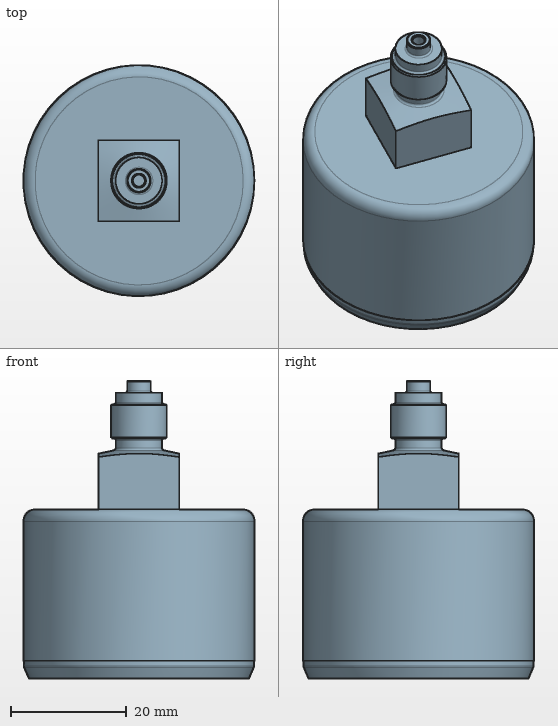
import cadquery as cq
import math

TOTAL_HEIGHT = 51.5

BEZEL_RADIUS = 19.95
BEZEL_BASE_RADIUS = 19.05
BEZEL_HEIGHT = 3.1
BEZEL_TAPER_HEIGHT = 2.05
BEZEL_EDGE_ROUND = 0.75
BEZEL_BASE_ROUND = 0.1

HOUSING_DIAMETER = 40.0
HOUSING_RADIUS = HOUSING_DIAMETER / 2
HOUSING_HEIGHT = 26.15
HOUSING_ROUND = 2.0
HOUSING_TOP = BEZEL_HEIGHT + HOUSING_HEIGHT

SHANK_WIDTH = 14.0
SHANK_SLOPE = 12.0
SHANK_CORNER_RADIUS = SHANK_WIDTH / math.sqrt(2)

NECK_RADIUS = 4.0
NECK_FOOT = 39.55
NECK_FOOT_ROUND = 0.45
NECK_TOP = 49.45

COLLAR_RADIUS = 4.85
COLLAR_BASE = 41.5
COLLAR_HEIGHT = 5.95
COLLAR_CHAMFER = 0.25
COLLAR_ROOT_ROUND = 0.3
COLLAR_TOP = COLLAR_BASE + COLLAR_HEIGHT

TIP_RADIUS = 2.05
TIP_ROOT_ROUND = 0.3
TIP_CHAMFER = 0.15
BORE_RADIUS = 1.05
BORE_CHAMFER = 0.2
BORE_DEPTH = 10.3

EDGE_TOLERANCE = 0.005


def revolve_about_z(outline):
    """Turn a closed outline in the XZ plane a full turn about the Z axis."""
    return outline.revolve(360, (0, 0, 0), (0, 1, 0))


def ring_edge(body, radius, height):
    """Select the circular edge of the given radius that lies at the given height."""
    return body.edges("%CIRCLE").filter(
        lambda edge: abs(edge.radius() - radius) < EDGE_TOLERANCE
        and abs(edge.Center().z - height) < EDGE_TOLERANCE
    )


def make_bezel():
    disc = revolve_about_z(
        cq.Workplane("XZ")
        .lineTo(BEZEL_BASE_RADIUS, 0)
        .lineTo(BEZEL_RADIUS, BEZEL_TAPER_HEIGHT)
        .lineTo(BEZEL_RADIUS, BEZEL_HEIGHT)
        .lineTo(0, BEZEL_HEIGHT)
        .close()
    )
    disc = ring_edge(disc, BEZEL_RADIUS, BEZEL_TAPER_HEIGHT).fillet(BEZEL_EDGE_ROUND)
    return ring_edge(disc, BEZEL_BASE_RADIUS, 0).fillet(BEZEL_BASE_ROUND)


def make_housing():
    cylinder = (
        cq.Workplane("XY")
        .workplane(offset=BEZEL_HEIGHT)
        .circle(HOUSING_RADIUS)
        .extrude(HOUSING_HEIGHT)
    )
    return cylinder.faces(">Z").edges().fillet(HOUSING_ROUND)


def make_shank_and_neck():
    slope_drop = (SHANK_CORNER_RADIUS - NECK_RADIUS) * math.tan(math.radians(SHANK_SLOPE))
    turned = revolve_about_z(
        cq.Workplane("XZ")
        .moveTo(0, HOUSING_TOP)
        .lineTo(SHANK_CORNER_RADIUS, HOUSING_TOP)
        .lineTo(SHANK_CORNER_RADIUS, NECK_FOOT - slope_drop)
        .lineTo(NECK_RADIUS, NECK_FOOT)
        .lineTo(NECK_RADIUS, NECK_TOP)
        .lineTo(0, NECK_TOP)
        .close()
    )
    turned = ring_edge(turned, NECK_RADIUS, NECK_FOOT).fillet(NECK_FOOT_ROUND)
    square_bar = cq.Workplane("XY").rect(SHANK_WIDTH, SHANK_WIDTH).extrude(TOTAL_HEIGHT)
    return turned.intersect(square_bar)


def make_collar():
    return (
        cq.Workplane("XY")
        .workplane(offset=COLLAR_BASE)
        .circle(COLLAR_RADIUS)
        .extrude(COLLAR_HEIGHT)
        .edges("%CIRCLE")
        .chamfer(COLLAR_CHAMFER)
    )


def make_tip():
    return (
        cq.Workplane("XY")
        .workplane(offset=NECK_TOP)
        .circle(TIP_RADIUS)
        .extrude(TOTAL_HEIGHT - NECK_TOP)
        .faces(">Z")
        .edges()
        .chamfer(TIP_CHAMFER)
    )


def make_bore():
    bore = (
        cq.Workplane("XY")
        .workplane(offset=TOTAL_HEIGHT)
        .circle(BORE_RADIUS)
        .extrude(-BORE_DEPTH)
    )
    mouth = revolve_about_z(
        cq.Workplane("XZ")
        .moveTo(0, TOTAL_HEIGHT)
        .lineTo(BORE_RADIUS + BORE_CHAMFER, TOTAL_HEIGHT)
        .lineTo(BORE_RADIUS, TOTAL_HEIGHT - BORE_CHAMFER)
        .lineTo(0, TOTAL_HEIGHT - BORE_CHAMFER)
        .close()
    )
    return bore.union(mouth)


def make_stem():
    stem = make_shank_and_neck().union(make_collar()).union(make_tip())
    for collar_end in (COLLAR_BASE, COLLAR_TOP):
        stem = ring_edge(stem, NECK_RADIUS, collar_end).fillet(COLLAR_ROOT_ROUND)
    stem = ring_edge(stem, TIP_RADIUS, NECK_TOP).fillet(TIP_ROOT_ROUND)
    return stem.cut(make_bore())


bezel = make_bezel()
housing = make_housing()
stem = make_stem()

result = cq.Compound.makeCompound([body.solids().val() for body in (bezel, housing, stem)])